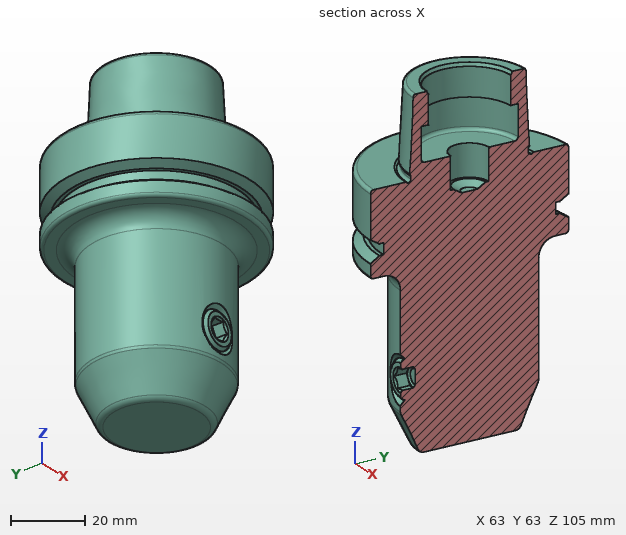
import cadquery as cq
import math

TOTAL_HEIGHT = 105.0

FLANGE_RADIUS = 31.5
FLANGE_TOP = 80.0
FLANGE_BOTTOM = 54.0
FLANGE_ROUND = 1.0
GROOVE_RADIUS = 27.4
GROOVE_LEDGE_RADIUS = 28.7
GROOVE_TOP_OUTER = 65.4
GROOVE_TOP_INNER = 63.7
GROOVE_BOTTOM_INNER = 60.4
GROOVE_BOTTOM_OUTER = 58.6

TAPER_BASE_RADIUS = 19.1
TAPER_BASE_HEIGHT = 82.1
TAPER_SLOPE = 1 / 20
SHANK_ROUND = 0.9

NECK_RADIUS = 18.7
NECK_TOP = 81.4
NECK_BOTTOM = 80.5
NECK_FILLET = 0.9
RELIEF_RADIUS = 20.3

BODY_RADIUS = 22.0
BODY_FILLET = 5.0
NOSE_CONE_TOP = 13.0
NOSE_CONE_ANGLE = 25.5
EDGE_BLEND = 2.1

BORE_RADIUS = 13.0
BORE_CHAMFER_WIDTH = 0.5
BORE_CHAMFER_DEPTH = 1.0
BORE_LIP_DEPTH = 10.0
CLAMP_RADIUS = 15.3
CLAMP_FILLET = 1.0
BORE_DEPTH = 20.5

CORE_RADIUS = 6.0
CORE_DEPTH = 10.0
CORE_CONE_RADIUS = 5.0
CORE_TIP_RADIUS = 2.5
CORE_CONE_DEPTH = 1.5

SCREW_HEIGHT = 22.6
SCREW_RADIUS = 6.0
SCREW_LENGTH = 4.2
SCREW_CHAMFER = 0.9
SCREW_FACE_DEPTH = 0.1
SEAT_RIM_RADIUS = 7.5
SEAT_DEPTH = 2.6

SOCKET_FLATS = 6.0
SOCKET_DEPTH = 4.1
SOCKET_RIM_RADIUS = 3.7
SOCKET_RIM_DEPTH = 0.6
SOCKET_DRILL_RADIUS = 2.9
SOCKET_FLOOR_RADIUS = 2.3
SOCKET_FLOOR_DEPTH = 0.5


def revolve_outline(outline):
    """Spin a closed radius/height outline about the Z axis."""
    return outline.close().revolve(360, (0, 0, 0), (0, 1, 0))


def round_rim(solid, radius, height, blend):
    """Fillet the circular edge of the given radius at the given height."""
    margin = 0.01
    half_width = radius + margin
    level = cq.selectors.BoxSelector(
        (-half_width, -half_width, height - margin),
        (half_width, half_width, height + margin),
        boundingbox=True,
    )
    largest = cq.selectors.RadiusNthSelector(-1)
    return solid.edges(level).edges(largest).fillet(blend)


def make_body():
    """Solid of revolution: nose, body, flange, neck relief and shank."""
    taper_top_radius = TAPER_BASE_RADIUS - TAPER_SLOPE * (TOTAL_HEIGHT - TAPER_BASE_HEIGHT)
    nose_radius = BODY_RADIUS - NOSE_CONE_TOP * math.tan(math.radians(NOSE_CONE_ANGLE))

    outline = (
        cq.Workplane("XZ")
        .lineTo(nose_radius, 0)
        .lineTo(BODY_RADIUS, NOSE_CONE_TOP)
        .lineTo(BODY_RADIUS, FLANGE_BOTTOM - BODY_FILLET)
        .radiusArc((BODY_RADIUS + BODY_FILLET, FLANGE_BOTTOM), BODY_FILLET)
        .lineTo(FLANGE_RADIUS, FLANGE_BOTTOM)
        .lineTo(FLANGE_RADIUS, GROOVE_BOTTOM_OUTER)
        .lineTo(GROOVE_LEDGE_RADIUS, GROOVE_BOTTOM_INNER)
        .lineTo(GROOVE_RADIUS, GROOVE_BOTTOM_INNER)
        .lineTo(GROOVE_RADIUS, GROOVE_TOP_INNER)
        .lineTo(GROOVE_LEDGE_RADIUS, GROOVE_TOP_INNER)
        .lineTo(FLANGE_RADIUS, GROOVE_TOP_OUTER)
        .lineTo(FLANGE_RADIUS, FLANGE_TOP)
        .lineTo(RELIEF_RADIUS, FLANGE_TOP)
        .lineTo(NECK_RADIUS + NECK_FILLET, NECK_BOTTOM - NECK_FILLET)
        .radiusArc((NECK_RADIUS, NECK_BOTTOM), NECK_FILLET)
        .lineTo(NECK_RADIUS, NECK_TOP)
        .lineTo(TAPER_BASE_RADIUS, TAPER_BASE_HEIGHT)
        .lineTo(taper_top_radius, TOTAL_HEIGHT)
        .lineTo(0, TOTAL_HEIGHT)
    )
    body = revolve_outline(outline)

    rounded_rims = [
        (nose_radius, 0, EDGE_BLEND),
        (BODY_RADIUS, NOSE_CONE_TOP, EDGE_BLEND),
        (FLANGE_RADIUS, FLANGE_BOTTOM, FLANGE_ROUND),
        (FLANGE_RADIUS, FLANGE_TOP, FLANGE_ROUND),
        (taper_top_radius, TOTAL_HEIGHT, SHANK_ROUND),
    ]
    for radius, height, blend in rounded_rims:
        body = round_rim(body, radius, height, blend)
    return body


def make_bore():
    """Chamfered bore with a wider clamping chamber and a blind hole in its floor."""
    lip = TOTAL_HEIGHT - BORE_LIP_DEPTH
    floor = TOTAL_HEIGHT - BORE_DEPTH
    core_floor = floor - CORE_DEPTH
    cone_floor = core_floor - CORE_CONE_DEPTH
    outline = (
        cq.Workplane("XZ")
        .moveTo(0, TOTAL_HEIGHT)
        .lineTo(BORE_RADIUS + BORE_CHAMFER_WIDTH, TOTAL_HEIGHT)
        .lineTo(BORE_RADIUS, TOTAL_HEIGHT - BORE_CHAMFER_DEPTH)
        .lineTo(BORE_RADIUS, lip)
        .lineTo(CLAMP_RADIUS, lip)
        .lineTo(CLAMP_RADIUS, floor + CLAMP_FILLET)
        .radiusArc((CLAMP_RADIUS - CLAMP_FILLET, floor), CLAMP_FILLET)
        .lineTo(CORE_RADIUS, floor)
        .lineTo(CORE_RADIUS, core_floor)
        .lineTo(CORE_CONE_RADIUS, core_floor)
        .lineTo(CORE_TIP_RADIUS, cone_floor)
        .lineTo(0, cone_floor)
    )
    return revolve_outline(outline)


def side_plane(depth):
    """Sketch plane across the screw axis, at a depth below the -Y side of the body."""
    return cq.Workplane("XZ", origin=(0, depth - BODY_RADIUS, SCREW_HEIGHT))


def side_cone(depth, outer_radius, inner_radius, length):
    """Truncated cone on the screw axis, narrowing inward from the given depth."""
    start = cq.Vector(0, depth - BODY_RADIUS, SCREW_HEIGHT)
    inward = cq.Vector(0, 1, 0)
    return cq.Workplane(cq.Solid.makeCone(outer_radius, inner_radius, length, start, inward))


def make_seat():
    """Countersunk recess around the clamping screw."""
    hole = side_plane(0).circle(SCREW_RADIUS).extrude(-SEAT_DEPTH)
    countersink_depth = SEAT_RIM_RADIUS - SCREW_RADIUS
    return hole.union(side_cone(0, SEAT_RIM_RADIUS, SCREW_RADIUS, countersink_depth))


def make_screw():
    """Chamfered clamping screw, long enough to merge with the floor of its seat."""
    screw = side_plane(SCREW_FACE_DEPTH).circle(SCREW_RADIUS).extrude(-SCREW_LENGTH)
    return screw.faces("<Y").chamfer(SCREW_CHAMFER)


def make_socket():
    """Hexagon socket with a conical lead-in and a conical floor."""
    corner_diameter = SOCKET_FLATS / math.cos(math.radians(30))
    hexagon = side_plane(SCREW_FACE_DEPTH).polygon(6, corner_diameter).extrude(-SOCKET_DEPTH)
    lead_in = side_cone(SCREW_FACE_DEPTH, SOCKET_RIM_RADIUS, SOCKET_DRILL_RADIUS, SOCKET_RIM_DEPTH)
    floor_cone = side_cone(
        SCREW_FACE_DEPTH + SOCKET_DEPTH, SOCKET_DRILL_RADIUS, SOCKET_FLOOR_RADIUS, SOCKET_FLOOR_DEPTH
    )
    return hexagon.union(lead_in).union(floor_cone)


holder = make_body().cut(make_bore()).cut(make_seat())
result = holder.union(make_screw()).cut(make_socket())